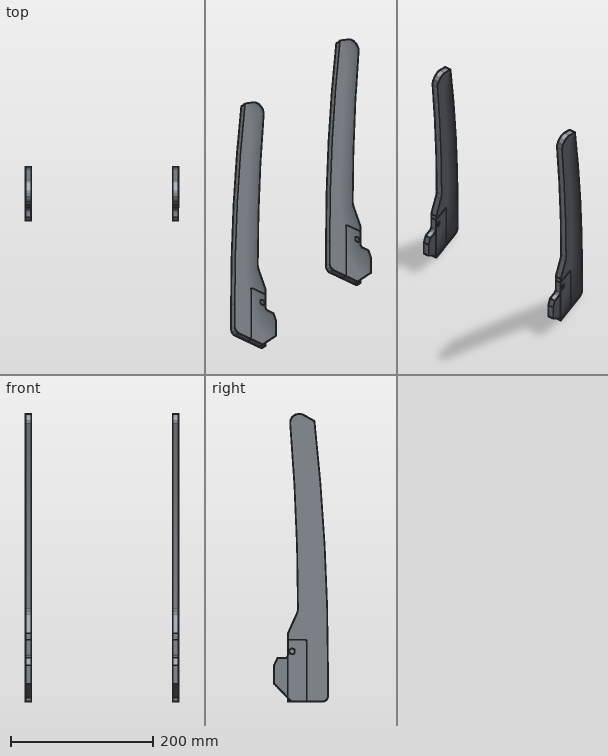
import cadquery as cq

TOTAL_WIDTH = 216.0
BLADE_THICKNESS = 8.5
POCKET_FLOOR = 0.5
PLATE_THICKNESS = BLADE_THICKNESS - POCKET_FLOOR
SPACING = TOTAL_WIDTH - BLADE_THICKNESS

BACK_Y = 76.0
HEIGHT = 405.2
FRONT_Y = 19.5
NECK_Y = 33.5
SLANT_BOTTOM_Z = 96.0
NECK_Z = 127.2
NECK_RADIUS = 20.3
BACK_CURVE_START_Z = 48.5
HEEL_RADIUS = 8.0

TIP_RADIUS = 13.0
TIP_FRONT_Y = 22.5
TIP_CENTER_Y = TIP_FRONT_Y + TIP_RADIUS
TIP_CENTER_Z = HEIGHT - TIP_RADIUS
TIP_BACK_Y = 57.0
TIP_BACK_Z = 395.0
TIP_BACK_RADIUS = 4.0
TIP_SLOPE_Y = 42.0
TIP_SLOPE_Z = TIP_CENTER_Z + (TIP_RADIUS**2 - (TIP_SLOPE_Y - TIP_CENTER_Y) ** 2) ** 0.5

PLATE_BACK_Y = 46.0
PLATE_TOP_Z = 87.0
PLATE_CORNER_RADIUS = 2.5
TAB_TOP_Z = 61.5
TAB_ROOT_RADIUS = 4.0
TAB_CHAMFER_Y = 5.0
TAB_CHAMFER_Z = 51.0
TAB_LOWER_Z = 25.5
PLATE_TOE_Y = 24.7

BOSS_Y = 25.5
BOSS_Z = 71.0
BOSS_RADIUS = 4.0


def bow_point(tangent_end, far_end):
    """Middle point of a shallow arc that is vertical at tangent_end."""
    rise_y = far_end[0] - tangent_end[0]
    return (tangent_end[0] + rise_y / 4, (tangent_end[1] + far_end[1]) / 2)


def round_corner(solid, y, z, radius):
    """Fillet the X-direction edge that passes through (y, z)."""
    corner = cq.selectors.NearestToPointSelector((solid.val().Center().x, y, z))
    return solid.edges(corner).fillet(radius)


def make_plate():
    """Plate with its front tab and boss hole, on the -X side of the assembly."""
    plate = (
        cq.Workplane("YZ")
        .moveTo(PLATE_TOE_Y, 0)
        .lineTo(PLATE_BACK_Y, 0)
        .lineTo(PLATE_BACK_Y, PLATE_TOP_Z)
        .lineTo(FRONT_Y, PLATE_TOP_Z)
        .lineTo(FRONT_Y, TAB_TOP_Z)
        .lineTo(TAB_CHAMFER_Y, TAB_TOP_Z)
        .lineTo(0, TAB_CHAMFER_Z)
        .lineTo(0, TAB_LOWER_Z)
        .close()
        .extrude(PLATE_THICKNESS)
    )
    plate = round_corner(plate, PLATE_BACK_Y, PLATE_TOP_Z, PLATE_CORNER_RADIUS)
    plate = round_corner(plate, FRONT_Y, TAB_TOP_Z, TAB_ROOT_RADIUS)
    boss_hole = cq.Workplane("YZ").center(BOSS_Y, BOSS_Z).circle(BOSS_RADIUS).extrude(PLATE_THICKNESS)
    return plate.cut(boss_hole)


def make_blade(plate):
    """Curved blade with a pocket that matches the plate and leaves the boss standing."""
    back_start = (BACK_Y, BACK_CURVE_START_Z)
    back_end = (TIP_BACK_Y, TIP_BACK_Z)
    neck = (NECK_Y, NECK_Z)
    tip_front = (TIP_FRONT_Y, TIP_CENTER_Z)
    blade = (
        cq.Workplane("YZ")
        .moveTo(FRONT_Y, 0)
        .lineTo(BACK_Y, 0)
        .lineTo(*back_start)
        .threePointArc(bow_point(back_start, back_end), back_end)
        .lineTo(TIP_SLOPE_Y, TIP_SLOPE_Z)
        .threePointArc((TIP_CENTER_Y, HEIGHT), tip_front)
        .threePointArc(bow_point(neck, tip_front), neck)
        .lineTo(FRONT_Y, SLANT_BOTTOM_Z)
        .close()
        .extrude(BLADE_THICKNESS)
    )
    blade = round_corner(blade, BACK_Y, 0, HEEL_RADIUS)
    blade = round_corner(blade, NECK_Y, NECK_Z, NECK_RADIUS)
    blade = round_corner(blade, TIP_BACK_Y, TIP_BACK_Z, TIP_BACK_RADIUS)
    return blade.cut(plate)


plate = make_plate()
blade = make_blade(plate)

bodies = []
for side in (-1, 1):
    offset = (side * SPACING / 2 - BLADE_THICKNESS / 2, 0, 0)
    bodies.append(blade.translate(offset).solids().val())
    bodies.append(plate.translate(offset).solids().val())

result = cq.Compound.makeCompound(bodies)